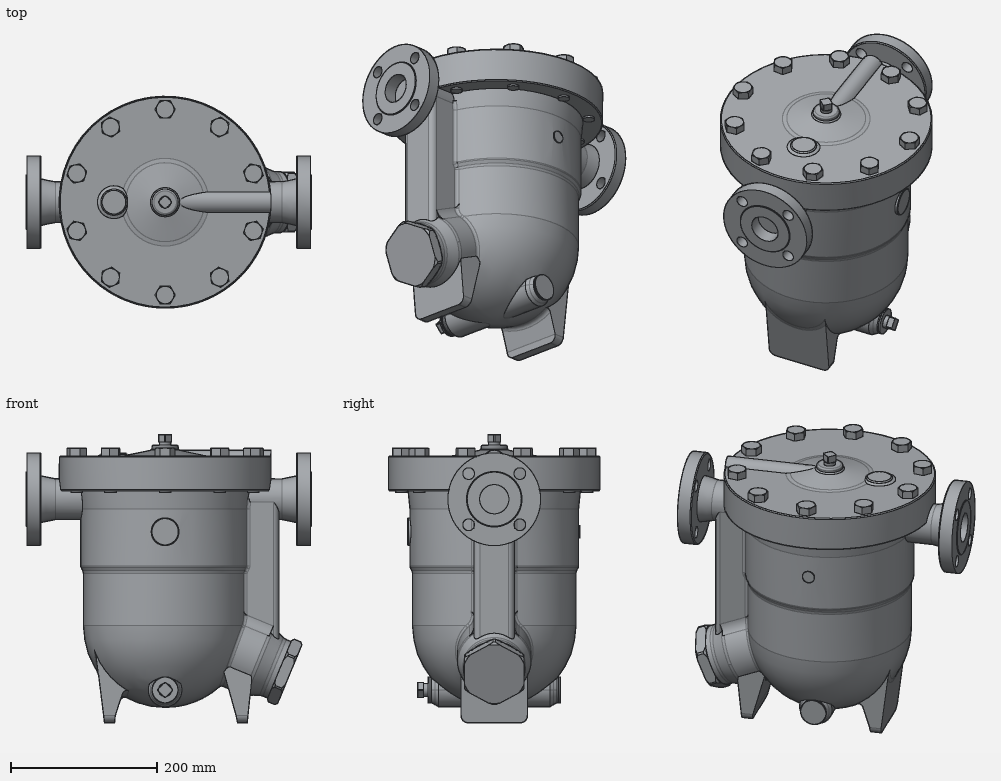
import cadquery as cq
import math


OVERLAP = 1.0
EDGE_MARGIN = 0.1

FLANGE_R = 145.0
COVER_TOP = 59.0
COVER_BOTTOM = 35.0
COVER_EDGE = 1.5
BODY_FLANGE_BOTTOM = 11.5

CONE_BASE_R = 60.0
CONE_R = 54.0
CONE_HEIGHT = 2.0
HUB_FOOT_R = 20.0
HUB_R = 18.0
CONE_TOP = 67.0
HUB_TOP = 74.0
HUB_EDGE_R = 2.5
PAD_X = -70.0
PAD_R = 18.0
PAD_FOOT_R = 22.5
PAD_FOOT_HEIGHT = 2.0
PAD_CHAMFER = 1.8
PAD_TOP = 63.0
RIDGE_WIDTH = 28.0
RIDGE_TOP = 67.0

BOLT_COUNT = 10
BOLT_CIRCLE_R = 127.0
BOLT_D = 16.0
BOLT_HEAD_FLATS = 24.0
BOLT_HEAD_HEIGHT = 11.0
BOLT_HEAD_CHAMFER = 1.0
BOLT_TIP = 2.5

NECK_R = 118.0
NECK_BOTTOM = -13.5
UPPER_R = 115.5
UPPER_BOTTOM = -92.3
STEP_BOTTOM = -99.5
STEP_OUTER_FILLET_R = 4.0
STEP_INNER_FILLET_R = 8.5
LOWER_R = 112.0
DOME_Z = -173.0

WALL_PAD_Z = -44.5
FRONT_PAD_R = 19.0
FRONT_PAD_EDGE = 1.0
FRONT_PAD_Y = -118.5
BACK_PAD_R = 8.5
BACK_PAD_Y = 117.0

PIPE_R = 28.0
INLET_X = -190.0
OUTLET_X = 200.0
PIPE_FLANGE_R = 63.5
PIPE_FLANGE_LENGTH = 20.5
PIPE_FLANGE_CHAMFER = 1.5
RAISED_FACE_R = 38.0
RAISED_FACE_HEIGHT = 1.0
REDUCER_R = 32.0
REDUCER_LENGTH = 19.5
BORE_R = 20.0
BORE_DEPTH = 20.0
PIPE_HOLE_D = 16.0
PIPE_HOLE_OFFSET = 35.0

RISER_X = 156.0
RISER_INNER_X = 90.0
RISER_WIDTH = 55.4
RISER_CORNER_R = 8.0
RISER_BOTTOM = -218.0
RISER_SEAM_R = 5.0

STRAINER_X = 170.7
STRAINER_Z = -239.3
STRAINER_TILT = 22.5
BARREL_R = 50.6
BARREL_END = 46.0
BARREL_LENGTH = 125.0
WAIST_R = 42.0
WAIST_START = 25.0
WAIST_BLEND_R = 12.0
CAP_FLATS = 82.0
CAP_CORNER_R = 46.5
CAP_THICKNESS = 15.5
CAP_CHAMFER = 3.0
WEB_FILLET_R = 20.0
WEB_LENGTH = 60.0
BARREL_SEAM_R = 5.0

FOOT_BOTTOM = -306.0
FOOT_TOP = -200.0
TOE_TOP = -296.0
FOOT_WIDTH = 91.0
FOOT_HEIGHT = FOOT_TOP - FOOT_BOTTOM
FOOT_CORNER_R = TOE_TOP - FOOT_BOTTOM
INLET_TOE_OUTER = -83.0
INLET_TOE_INNER = -69.0
INLET_TOE_TAPER = 1.0
INLET_FOOT_INNER_END = (-50.0, -240.0)
INLET_FOOT_TOP_X = -96.25
OUTLET_TOE_INNER = 99.0
OUTLET_TOE_OUTER = 112.5
OUTLET_TOE_TAPER = 2.0
OUTLET_FOOT_SHOULDER = (118.5, -247.0)
OUTLET_FOOT_TOP = (115.0, -220.0)
OUTLET_FOOT_INNER_END = (80.0, -235.0)
FOOT_TOP_FILLET_R = 13.0
FOOT_INNER_FILLET_R = 6.0

DRAIN_Z = -261.0
DRAIN_R = 23.0
DRAIN_SHOULDER = 76.0
DRAIN_MID_R = 20.3
DRAIN_MID = 81.0
DRAIN_NECK_R = 17.5
DRAIN_NECK = 86.0
DRAIN_FACE_R = 18.0
DRAIN_FACE_START = 88.0
DRAIN_FACE = 90.5
DRAIN_PLUG_NECK = 6.0
DRAIN_PLUG_LENGTH = 14.5
DRAIN_PLUG_NECK_R = 9.0
DRAIN_PLUG_SIDE = 15.5
DRAIN_PLUG_CORNER_R = 10.3
TOP_PLUG_NECK = 4.5
TOP_PLUG_LENGTH = 14.5
TOP_PLUG_NECK_R = 8.0
TOP_PLUG_SIDE = 13.5
TOP_PLUG_CORNER_R = 8.8


def revolved(profile):
    """Solid of revolution about Z from (radius, height) points."""
    return cq.Workplane("XZ").polyline(profile).close().revolve(360, (0, 0, 0), (0, 1, 0))


def ring_edges(solid, radius, height):
    """The edge of a solid of revolution that circles Z at this radius and height."""
    reach = radius + EDGE_MARGIN
    low = (-reach, -reach, height - EDGE_MARGIN)
    high = (reach, reach, height + EDGE_MARGIN)
    return solid.edges(cq.selectors.BoxSelector(low, high, boundingbox=True))


def cylinder_z(radius, bottom, top):
    return cq.Workplane("XY").workplane(offset=bottom).circle(radius).extrude(top - bottom)


def hexagon(flats, bottom, top, vertex_angle=0.0):
    """Hexagonal prism along Z whose first corner lies at vertex_angle."""
    prism = cq.Workplane("XY").workplane(offset=bottom)
    prism = prism.polygon(6, flats / math.cos(math.pi / 6)).extrude(top - bottom)
    return prism.rotate((0, 0, 0), (0, 0, 1), vertex_angle)


def square_plug(neck_r, neck, side, corner_r, length):
    """Plug along Z from Z = 0: round neck, then a square head with rounded-off corners."""
    head = cq.Workplane("XY").workplane(offset=neck).rect(side, side).extrude(length - neck)
    head = head.rotate((0, 0, 0), (0, 0, 1), 45)
    head = head.intersect(cylinder_z(corner_r, neck, length))
    return head.union(cylinder_z(neck_r, -OVERLAP, neck))


def make_vessel():
    dome_bottom = (0, DOME_Z - LOWER_R)
    dome_mid = (LOWER_R * math.sin(math.pi / 4), DOME_Z - LOWER_R * math.cos(math.pi / 4))
    wall = (
        cq.Workplane("XZ")
        .moveTo(0, BODY_FLANGE_BOTTOM)
        .lineTo(NECK_R, BODY_FLANGE_BOTTOM)
        .lineTo(UPPER_R, NECK_BOTTOM)
        .lineTo(UPPER_R, UPPER_BOTTOM)
        .lineTo(LOWER_R, STEP_BOTTOM)
        .lineTo(LOWER_R, DOME_Z)
        .threePointArc(dome_mid, dome_bottom)
        .close()
        .revolve(360, (0, 0, 0), (0, 1, 0))
    )
    wall = ring_edges(wall, UPPER_R, UPPER_BOTTOM).fillet(STEP_OUTER_FILLET_R)
    wall = ring_edges(wall, LOWER_R, STEP_BOTTOM).fillet(STEP_INNER_FILLET_R)
    body_flange = cylinder_z(FLANGE_R, BODY_FLANGE_BOTTOM, COVER_BOTTOM)
    body_flange = body_flange.faces("<Z").edges().chamfer(COVER_EDGE)
    return wall.union(body_flange)


def make_cover():
    plate = cylinder_z(FLANGE_R, COVER_BOTTOM, COVER_TOP).faces(">Z").edges().chamfer(COVER_EDGE)
    cone = revolved([
        (0, COVER_BOTTOM),
        (CONE_BASE_R, COVER_BOTTOM),
        (CONE_BASE_R, COVER_TOP),
        (CONE_R, COVER_TOP + CONE_HEIGHT / 2),
        (HUB_FOOT_R, CONE_TOP),
        (HUB_R, CONE_TOP + HUB_FOOT_R - HUB_R),
        (HUB_R, HUB_TOP),
        (0, HUB_TOP),
    ]).faces(">Z").edges().fillet(HUB_EDGE_R)
    pad = revolved([
        (0, COVER_BOTTOM),
        (PAD_FOOT_R, COVER_BOTTOM),
        (PAD_FOOT_R, COVER_TOP),
        (PAD_R, COVER_TOP + PAD_FOOT_HEIGHT),
        (PAD_R, PAD_TOP - PAD_CHAMFER),
        (PAD_R - PAD_CHAMFER, PAD_TOP),
        (0, PAD_TOP),
    ]).translate((PAD_X, 0, 0))
    plug = square_plug(
        TOP_PLUG_NECK_R, TOP_PLUG_NECK, TOP_PLUG_SIDE, TOP_PLUG_CORNER_R, TOP_PLUG_LENGTH
    ).translate((0, 0, HUB_TOP))
    cover = plate.union(cone).union(pad).union(make_ridge()).union(plug)
    bolt = make_bolt()
    for i in range(BOLT_COUNT):
        bolt_angle = 90 + i * 360 / BOLT_COUNT
        cover = cover.union(bolt.rotate((0, 0, 0), (0, 0, 1), bolt_angle))
    return cover


def make_ridge():
    """Rounded rib from the hub out to the cover rim."""
    rise = RIDGE_TOP - COVER_TOP
    radius = (rise ** 2 + (RIDGE_WIDTH / 2) ** 2) / (2 * rise)
    ridge = cq.Workplane("YZ").center(0, RIDGE_TOP - radius).circle(radius).extrude(FLANGE_R + OVERLAP)
    return ridge.intersect(cylinder_z(FLANGE_R, COVER_BOTTOM + COVER_EDGE, RIDGE_TOP + OVERLAP))


def make_bolt():
    head_top = COVER_TOP + BOLT_HEAD_HEIGHT
    corner_r = BOLT_HEAD_FLATS / math.sqrt(3)
    head = hexagon(BOLT_HEAD_FLATS, COVER_TOP - OVERLAP, head_top, 90)
    head_limit = cylinder_z(corner_r, COVER_TOP - OVERLAP, head_top)
    head_limit = head_limit.faces(">Z").edges().chamfer(BOLT_HEAD_CHAMFER, corner_r - BOLT_HEAD_FLATS / 2)
    shank = cylinder_z(BOLT_D / 2, BODY_FLANGE_BOTTOM - BOLT_TIP, COVER_TOP)
    return head.intersect(head_limit).union(shank).translate((BOLT_CIRCLE_R, 0, 0))


def make_wall_pads():
    front = (
        cq.Workplane("XZ")
        .center(0, WALL_PAD_Z)
        .circle(FRONT_PAD_R)
        .extrude(-FRONT_PAD_Y)
        .faces("<Y")
        .edges()
        .chamfer(FRONT_PAD_EDGE)
    )
    back = cq.Workplane("XZ").center(0, WALL_PAD_Z).circle(BACK_PAD_R).extrude(-BACK_PAD_Y)
    return front.union(back)


def make_pipe(face_x):
    """Flanged pipe from the vessel axis out to face_x."""
    reach = abs(face_x)
    flange_front = reach - RAISED_FACE_HEIGHT
    flange_back = reach - PIPE_FLANGE_LENGTH
    chamfer = PIPE_FLANGE_CHAMFER
    pipe = revolved([
        (0, 0),
        (PIPE_R, 0),
        (PIPE_R, flange_back - REDUCER_LENGTH),
        (REDUCER_R, flange_back),
        (PIPE_FLANGE_R - chamfer, flange_back),
        (PIPE_FLANGE_R, flange_back + chamfer),
        (PIPE_FLANGE_R, flange_front),
        (RAISED_FACE_R, flange_front),
        (RAISED_FACE_R - RAISED_FACE_HEIGHT, reach),
        (0, reach),
    ])
    return pipe.rotate((0, 0, 0), (0, 1, 0), math.copysign(90, face_x))


def make_pipe_holes(face_x):
    """Bore and flange bolt holes of the pipe ending at face_x."""
    inward = -math.copysign(1, face_x)
    face = cq.Workplane("YZ").workplane(offset=face_x)
    bore = face.circle(BORE_R).extrude(inward * BORE_DEPTH)
    holes = (
        face.rect(2 * PIPE_HOLE_OFFSET, 2 * PIPE_HOLE_OFFSET, forConstruction=True)
        .vertices()
        .circle(PIPE_HOLE_D / 2)
        .extrude(inward * (PIPE_FLANGE_LENGTH + OVERLAP))
    )
    return bore.union(holes)


def make_riser():
    length = RISER_X - RISER_INNER_X
    riser = cq.Workplane("XY").box(length, RISER_WIDTH, -RISER_BOTTOM, centered=(False, True, False))
    riser = riser.edges("|Z and >X").fillet(RISER_CORNER_R)
    return riser.translate((RISER_INNER_X, 0, RISER_BOTTOM))


def make_web(plane):
    """Concave blends between the barrel and both sides of the riser."""
    half = RISER_WIDTH / 2
    centre_y = half + WEB_FILLET_R
    centre_h = math.sqrt((BARREL_R + WEB_FILLET_R) ** 2 - centre_y ** 2)
    shrink = BARREL_R / (BARREL_R + WEB_FILLET_R)
    foot_y = centre_y * shrink
    foot_h = centre_h * shrink
    riser_angle = math.pi
    barrel_angle = math.pi + math.atan2(centre_h, centre_y)
    mid_angle = (riser_angle + barrel_angle) / 2
    mid_y = centre_y + WEB_FILLET_R * math.cos(mid_angle)
    mid_h = centre_h + WEB_FILLET_R * math.sin(mid_angle)
    return (
        cq.Workplane(plane)
        .workplane(offset=-BARREL_END)
        .moveTo(half, centre_h)
        .threePointArc((mid_y, mid_h), (foot_y, foot_h))
        .lineTo(0, 0)
        .lineTo(-foot_y, foot_h)
        .threePointArc((-mid_y, mid_h), (-half, centre_h))
        .close()
        .extrude(-WEB_LENGTH)
    )


def make_strainer():
    tilt = math.radians(STRAINER_TILT)
    plane = cq.Plane(
        origin=(STRAINER_X, 0, STRAINER_Z),
        xDir=(0, 1, 0),
        normal=(math.cos(tilt), 0, -math.sin(tilt)),
    )
    barrel = revolved([
        (0, -BARREL_LENGTH),
        (BARREL_R, -BARREL_LENGTH),
        (BARREL_R, -BARREL_END),
        (WAIST_R, -WAIST_START),
        (WAIST_R, -CAP_THICKNESS),
        (0, -CAP_THICKNESS),
    ])
    barrel = ring_edges(barrel, BARREL_R, -BARREL_END).fillet(WAIST_BLEND_R)
    barrel = ring_edges(barrel, WAIST_R, -WAIST_START).fillet(WAIST_BLEND_R)
    cap_limit = cylinder_z(CAP_CORNER_R, -CAP_THICKNESS, 0)
    cap_limit = cap_limit.edges("%CIRCLE").chamfer(CAP_CHAMFER)
    cap = hexagon(CAP_FLATS, -CAP_THICKNESS, 0, 90).intersect(cap_limit)
    strainer = barrel.union(cap).val().moved(cq.Location(plane))
    return cq.Workplane("XY").newObject([strainer]).union(make_web(plane))


def make_foot(profile):
    """Foot from (x, z) points of its side outline, with rounded lower corners."""
    foot = cq.Workplane("XZ").polyline(profile).close().extrude(FOOT_WIDTH / 2, both=True)
    outline = (
        cq.Workplane("YZ")
        .workplane(offset=-FLANGE_R)
        .center(0, FOOT_BOTTOM + FOOT_HEIGHT / 2)
        .rect(FOOT_WIDTH, FOOT_HEIGHT)
        .extrude(2 * FLANGE_R)
        .edges("|X and <Z")
        .fillet(FOOT_CORNER_R)
    )
    return foot.intersect(outline)


def make_feet():
    inlet_foot = make_foot([
        (INLET_TOE_OUTER, FOOT_BOTTOM),
        (INLET_TOE_INNER, FOOT_BOTTOM),
        (INLET_TOE_INNER + INLET_TOE_TAPER, TOE_TOP),
        INLET_FOOT_INNER_END,
        (INLET_FOOT_INNER_END[0], FOOT_TOP),
        (INLET_FOOT_TOP_X, FOOT_TOP),
    ])
    outlet_foot = make_foot([
        (OUTLET_TOE_INNER, FOOT_BOTTOM),
        (OUTLET_TOE_OUTER, FOOT_BOTTOM),
        OUTLET_FOOT_SHOULDER,
        OUTLET_FOOT_TOP,
        (OUTLET_FOOT_INNER_END[0], OUTLET_FOOT_TOP[1]),
        OUTLET_FOOT_INNER_END,
        (OUTLET_TOE_INNER - OUTLET_TOE_TAPER, TOE_TOP),
    ])
    return inlet_foot.union(outlet_foot)


def make_drain():
    """Drain bosses front and back; the front one carries the plug."""
    boss = revolved([
        (0, 0),
        (DRAIN_R, 0),
        (DRAIN_R, DRAIN_SHOULDER),
        (DRAIN_MID_R, DRAIN_MID),
        (DRAIN_NECK_R, DRAIN_NECK),
        (DRAIN_NECK_R, DRAIN_FACE_START),
        (DRAIN_FACE_R, DRAIN_FACE_START),
        (DRAIN_FACE_R, DRAIN_FACE),
        (0, DRAIN_FACE),
    ])
    plug = square_plug(
        DRAIN_PLUG_NECK_R, DRAIN_PLUG_NECK, DRAIN_PLUG_SIDE, DRAIN_PLUG_CORNER_R, DRAIN_PLUG_LENGTH
    )
    front = boss.union(plug.translate((0, 0, DRAIN_FACE))).rotate((0, 0, 0), (1, 0, 0), 90)
    back = boss.rotate((0, 0, 0), (1, 0, 0), -90)
    return front.union(back).translate((0, 0, DRAIN_Z))


def edges_within(solid, low, high):
    """Edges of the solid whose centres lie inside the box from low to high."""
    return solid.edges(cq.selectors.BoxSelector(low, high))


def add_riser(vessel):
    """Vessel joined to the riser, with blended vertical seams."""
    joined = vessel.union(make_riser())
    half = RISER_WIDTH / 2 + OVERLAP
    low = (RISER_INNER_X, -half, RISER_BOTTOM + OVERLAP)
    high = (NECK_R, half, NECK_BOTTOM - OVERLAP)
    seams = edges_within(joined, low, high)
    return seams.fillet(RISER_SEAM_R)


def add_strainer(vessel):
    """Vessel joined to the strainer, with a blended seam around the barrel."""
    joined = vessel.union(make_strainer())
    low = (LOWER_R - BARREL_R, -BARREL_R, STRAINER_Z - BARREL_R)
    high = (LOWER_R, BARREL_R, UPPER_BOTTOM)
    seams = edges_within(joined, low, high)
    return seams.fillet(BARREL_SEAM_R)


def add_feet(vessel):
    """Vessel joined to the feet, blended above the inlet foot and along the inner sides of both."""
    joined = vessel.union(make_feet())
    top_low = (-LOWER_R, -OVERLAP, DOME_Z - LOWER_R)
    top_high = (INLET_TOE_OUTER, OVERLAP, FOOT_TOP)
    joined = edges_within(joined, top_low, top_high).fillet(FOOT_TOP_FILLET_R)
    inner_low = (INLET_TOE_INNER + INLET_TOE_TAPER, -OVERLAP, DOME_Z - LOWER_R)
    inner_high = (OUTLET_TOE_INNER - OUTLET_TOE_TAPER, OVERLAP, DOME_Z)
    return edges_within(joined, inner_low, inner_high).fillet(FOOT_INNER_FILLET_R)


bare_vessel = make_vessel()
result = add_riser(bare_vessel).union(add_strainer(bare_vessel)).union(add_feet(bare_vessel))
result = result.union(make_wall_pads()).union(make_drain())
for pipe_face in (INLET_X, OUTLET_X):
    result = result.union(make_pipe(pipe_face)).cut(make_pipe_holes(pipe_face))

result = result.union(make_cover())